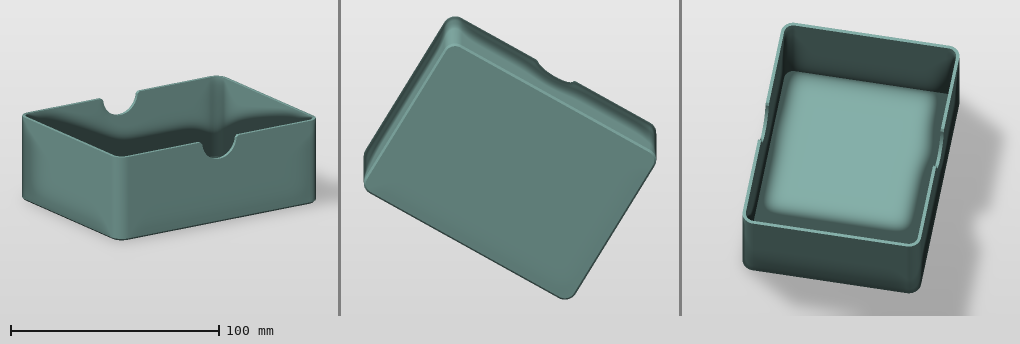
import cadquery as cq

length_x = 87.0
length_y = 117.0
height = 42.0
wall = 1.6
floor = 2.0
corner_radius = 6.0
base_chamfer = 1.0

notch_radius = 10.0
notch_lip_chamfer = 1.0


def make_shell():
    """Rounded box with a chamfered base, hollowed from the top."""
    body = (
        cq.Workplane("XY")
        .box(length_x, length_y, height, centered=(True, True, False))
        .edges("|Z")
        .fillet(corner_radius)
        .faces("<Z")
        .edges()
        .chamfer(base_chamfer)
    )
    cavity = (
        cq.Workplane("XY")
        .workplane(offset=floor)
        .rect(length_x - 2 * wall, length_y - 2 * wall)
        .extrude(height - floor)
        .edges("|Z")
        .fillet(corner_radius - wall)
    )
    return body.cut(cavity)


def cut_finger_notches(shell):
    """Cut a half-round notch through both long walls and bevel its upper corners."""
    notch = (
        cq.Workplane("YZ")
        .center(0, height)
        .circle(notch_radius)
        .extrude(length_x / 2, both=True)
    )
    reach = notch_radius + notch_lip_chamfer
    rim_corners = cq.selectors.BoxSelector(
        (-length_x, -reach, height - notch_lip_chamfer),
        (length_x, reach, height + notch_lip_chamfer),
    )
    return shell.cut(notch).edges("|X").edges(rim_corners).chamfer(notch_lip_chamfer)


result = cut_finger_notches(make_shell())